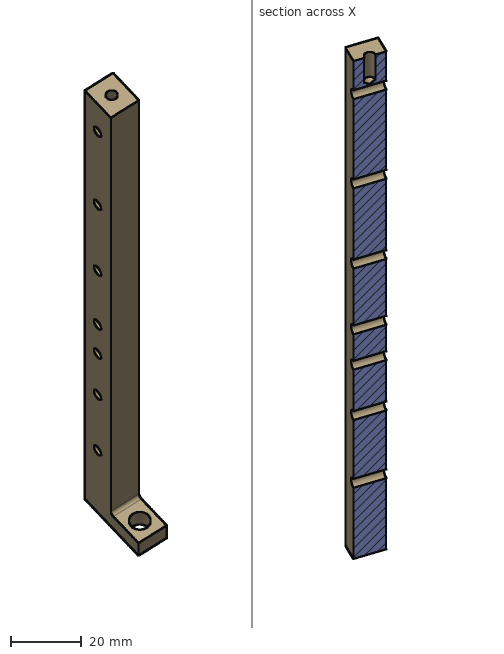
import cadquery as cq
import math

height = 198.0
depth = 10.0
length = 25.0
bar_width = 12.0
foot_height = 6.1

corner_radius = 1.2

hole_x = 6.0
cross_hole_diameter = 3.4
cross_hole_heights = (30.0, 57.0, 77.0, 91.0, 117.2, 149.0, 184.5)

end_hole_diameter = 3.4
end_hole_depth = 9.9
drill_tip_angle = 118.0

foot_hole_diameter = 6.1
foot_hole_x = length - 6.0

mid_depth = depth / 2


def make_body():
    """L-shaped profile in XZ, extruded along +Y, with its inside corner filleted."""
    outline = [
        (0, 0),
        (length, 0),
        (length, foot_height),
        (bar_width, foot_height),
        (bar_width, height),
        (0, height),
    ]
    body = cq.Workplane("XZ").polyline(outline).close().extrude(-depth)
    corner = cq.selectors.NearestToPointSelector((bar_width, mid_depth, foot_height))
    return body.edges(corner).fillet(corner_radius)


def make_cross_holes():
    centers = [(hole_x, z) for z in cross_hole_heights]
    return cq.Workplane("XZ").pushPoints(centers).circle(cross_hole_diameter / 2).extrude(-depth)


def make_end_hole():
    """Drilled hole with a conical bottom, revolved about its vertical axis."""
    radius = end_hole_diameter / 2
    tip_length = radius / math.tan(math.radians(drill_tip_angle / 2))
    half_section = [
        (0, 0),
        (radius, 0),
        (radius, -end_hole_depth),
        (0, -end_hole_depth - tip_length),
    ]
    top = cq.Workplane("XZ", origin=(hole_x, mid_depth, height))
    return top.polyline(half_section).close().revolve(360, (0, 0), (0, 1))


def make_foot_hole():
    bottom = cq.Workplane("XY", origin=(foot_hole_x, mid_depth, 0))
    return bottom.circle(foot_hole_diameter / 2).extrude(foot_height)


result = make_body().cut(make_cross_holes()).cut(make_end_hole()).cut(make_foot_hole())